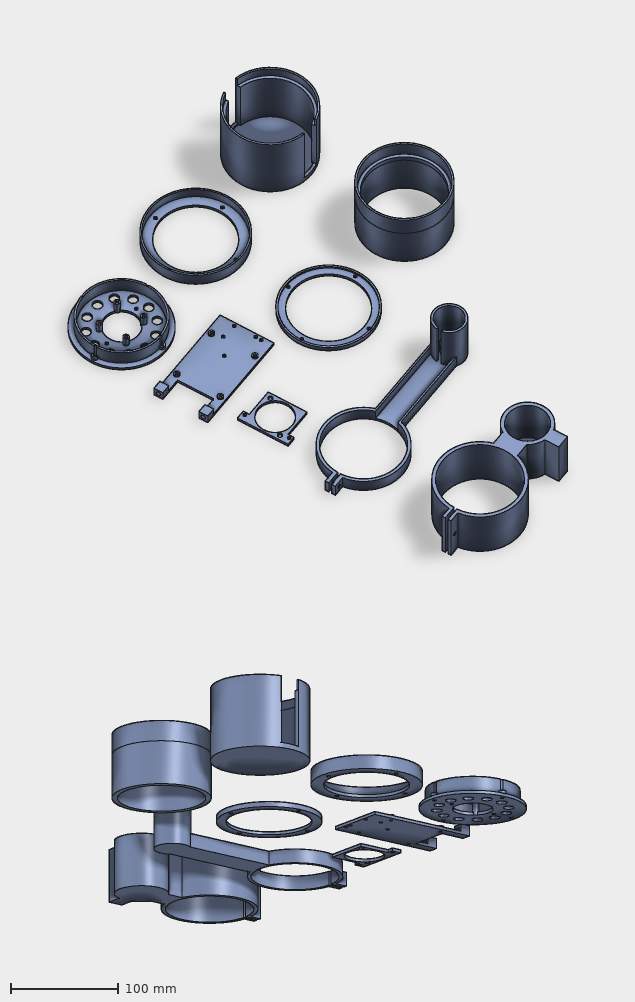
import cadquery as cq
import math

floor = 3.0
low_height = 13.5
tall_height = 51.0
tube_diameter = 92.5
bore_diameter = 82.0
rebate_diameter = 88.5
ring_bore = 80.0
flange_ring_outer, flange_ring_inner = 104.0, 100.5
cover_ring_outer, cover_ring_inner = 98.5, 94.5
cover_ring_height = 5.0
screw_circle = 90.0
screw_hole = 3.5

left_x = flange_ring_outer / 2
back_y = 306.5
middle_y = 181.0
front_y = 56.0
sleeve_x = 202.0
cover_x = 200.5
plate_x, plate_y = 151.0, 6.5
fan_x, fan_y = 231.0, 45.5
arm_x = 322.5
twin_outer = 90.0
total_length = 497.5
twin_x = total_length - twin_outer / 2


def disc(diameter, bottom, top, x=0.0, y=0.0):
    """Upright cylinder between two heights."""
    return cq.Workplane("XY", origin=(x, y, bottom)).circle(diameter / 2).extrude(top - bottom)


def block(x_min, x_max, y_min, y_max, z_min, z_max):
    """Rectangular block between two corners."""
    size = (x_max - x_min, y_max - y_min, z_max - z_min)
    return cq.Workplane("XY").box(*size, centered=False).translate((x_min, y_min, z_min))


def polar(radius, count, first_angle=0.0):
    """Points spread evenly on a circle about the origin."""
    angles = [math.radians(first_angle + 360 * i / count) for i in range(count)]
    return [(radius * math.cos(a), radius * math.sin(a)) for a in angles]


def pins(points, diameter, bottom, top):
    """Equal upright cylinders at several points, for bosses or for drilling."""
    centres = cq.Workplane("XY", origin=(0, 0, bottom)).pushPoints(points)
    return centres.circle(diameter / 2).extrude(top - bottom)


def make_cup():
    height = 70.0
    rebate_depth = 10.0
    slot_width = 20.0
    sill = 5.0
    sill_inner = 86.0
    cup = disc(tube_diameter, 0, height)
    cup = cup.cut(disc(bore_diameter, floor, height))
    cup = cup.cut(disc(rebate_diameter, height - rebate_depth, height))
    reach = tube_diameter / 2
    slot = block(-reach, reach, -slot_width / 2, slot_width / 2, sill, height)
    recess = block(-reach, reach, -slot_width / 2, slot_width / 2, floor, sill)
    return cup.cut(slot).cut(recess.intersect(disc(sill_inner, floor, sill)))


sleeve_tube_height = 42.0
sleeve_height = 61.5


def make_sleeve_tube():
    return disc(tube_diameter, 0, sleeve_tube_height).cut(disc(bore_diameter, 0, sleeve_tube_height))


def make_sleeve_collar():
    rebate_depth = 15.0
    collar = disc(tube_diameter, sleeve_tube_height, sleeve_height)
    collar = collar.cut(disc(bore_diameter, sleeve_tube_height, sleeve_height))
    return collar.cut(disc(rebate_diameter, sleeve_height - rebate_depth, sleeve_height))


def make_flange_ring(outer, rim_inner, height):
    ring = disc(outer, 0, height)
    ring = ring.cut(disc(rim_inner, floor, height)).cut(disc(ring_bore, 0, floor))
    return ring.cut(pins(polar(screw_circle / 2, 4), screw_hole, 0, floor))


def make_motor_base():
    flange_diameter = 100.0
    wall_inner = 84.5
    wall_height = 18.5
    shaft_opening = 38.0
    boss_diameter, boss_top = 7.0, 6.5
    vent_diameter, vent_radius, vent_count = 10.0, 34.0, 12
    post_diameter, post_hole, post_top = 6.0, 2.8, 13.0
    post_offset = 15.0
    cable_hole_y = 25.0

    base = disc(flange_diameter, 0, floor)
    base = base.union(disc(rebate_diameter, 0, wall_height))
    base = base.union(pins(polar(screw_circle / 2, 4), boss_diameter, 0, boss_top))
    base = base.cut(disc(wall_inner, floor, wall_height))
    base = base.cut(pins(polar(screw_circle / 2, 4), screw_hole, 0, wall_height))
    vents = polar(vent_radius, vent_count, 180 / vent_count)
    base = base.cut(pins(vents, vent_diameter, 0, floor))
    base = base.cut(pins([(0, cable_hole_y), (0, -cable_hole_y)], screw_hole, 0, floor))
    base = base.cut(disc(shaft_opening, 0, floor))
    posts = polar(post_offset * math.sqrt(2), 4, 45)
    base = base.union(pins(posts, post_diameter, 0, post_top))
    return base.cut(pins(posts, post_hole, floor, post_top))


def make_plate():
    half_width = 60.0 / 2
    length = 111.5
    leg = 10.0
    notch_end = 25.0
    block_hole, block_hole_depth = 4.85, 12.0
    boss_x = 24.5
    boss_rows = (30.0, 88.0)
    boss_diameter, boss_hole, boss_top = 6.0, 2.8, 5.0
    small_hole = 3.4
    small_holes = [(-12.0, 108.0), (12.0, 108.0), (18.5, 108.0), (-13.5, 91.5), (0, 73.0)]

    plate = block(-half_width, half_width, 0, length, 0, floor)
    plate = plate.cut(block(-half_width + leg, half_width - leg, 0, notch_end, 0, floor))
    for side in (-1, 1):
        middle = side * (half_width - leg / 2)
        plate = plate.union(block(middle - leg / 2, middle + leg / 2, 0, leg, 0, leg))
        bore = cq.Workplane("XZ", origin=(middle, 0, leg / 2)).circle(block_hole / 2)
        plate = plate.cut(bore.extrude(-block_hole_depth))
    bosses = [(side * boss_x, y) for side in (-1, 1) for y in boss_rows]
    plate = plate.union(pins(bosses, boss_diameter, 0, boss_top))
    plate = plate.cut(pins(bosses, boss_hole, 0, boss_top))
    return plate.cut(pins(small_holes, small_hole, 0, floor))


def make_fan_bracket():
    half_width, half_depth = 43.5 / 2, 42.0 / 2
    opening = 38.0
    ear_reach, ear_depth = 28.5, 10.0
    frame_hole, frame_hole_offset = 4.85, 16.0
    ear_hole = 3.4
    ear_hole_x, ear_hole_y = 25.0, -14.0

    bracket = block(-half_width, half_width, -half_depth, half_depth, 0, floor)
    bracket = bracket.union(block(-ear_reach, ear_reach, -half_depth, -half_depth + ear_depth, 0, floor))
    bracket = bracket.cut(disc(opening, 0, floor))
    corners = [(-frame_hole_offset, frame_hole_offset), (frame_hole_offset, -frame_hole_offset)]
    bracket = bracket.cut(pins(corners, frame_hole, 0, floor))
    ears = [(-ear_hole_x, ear_hole_y), (ear_hole_x, ear_hole_y)]
    return bracket.cut(pins(ears, ear_hole, 0, floor))


tab_gap = 3.0
tab_hole = 4.1
tab_hole_y = 6.5 - front_y


def add_tabs(clamp, inner, outer, span, height):
    """Add two tabs on the -Y side, split them and drill the pinch screw hole."""
    clamp = clamp.union(block(-span / 2, span / 2, -front_y, 0, 0, height))
    clamp = clamp.cut(disc(inner, 0, height))
    clamp = clamp.cut(block(-tab_gap / 2, tab_gap / 2, -front_y, 0, 0, height))
    drill = cq.Workplane("YZ", origin=(-outer / 2, tab_hole_y, height / 2)).circle(tab_hole / 2)
    return clamp.cut(drill.extrude(outer))


def make_arm_clamp():
    outer, inner = 88.5, 82.0
    tab_span = 11.5
    arm_half_width, arm_wall = 14.5, 2.0
    socket_y = 144.5
    socket_outer, socket_inner = 35.0, 30.0
    core_outer, core_inner = 18.0, 14.0
    socket_slot = 5.0

    clamp = disc(outer, 0, low_height)
    clamp = clamp.union(block(-arm_half_width, arm_half_width, 0, socket_y, 0, low_height))
    channel = arm_half_width - arm_wall
    clamp = clamp.cut(block(-channel, channel, 0, socket_y, floor, low_height))
    clamp = add_tabs(clamp, inner, outer, tab_span, low_height)

    socket = disc(socket_outer, 0, tall_height, 0, socket_y)
    clamp = clamp.union(socket).cut(disc(socket_inner, floor, tall_height, 0, socket_y))
    core = disc(core_outer, 0, low_height, 0, socket_y)
    core = core.cut(disc(core_inner, floor, low_height, 0, socket_y))
    slot = block(-socket_slot / 2, socket_slot / 2, socket_y - socket_outer, socket_y, floor, tall_height)
    return clamp.union(core).cut(slot)


def make_twin_clamp():
    inner = 82.5
    tab_span = 10.0
    cup_y = 80.0
    cup_outer, cup_inner = 50.5, 43.0
    neck_half_width = 13.5
    side_reach, side_half_width = 40.0, 7.5

    clamp = disc(twin_outer, 0, tall_height)
    clamp = clamp.union(block(-neck_half_width, neck_half_width, 0, cup_y, 0, tall_height))
    clamp = add_tabs(clamp, inner, twin_outer, tab_span, tall_height)
    clamp = clamp.union(disc(cup_outer, 0, tall_height, 0, cup_y))
    side = block(0, side_reach, cup_y - side_half_width, cup_y + side_half_width, 0, tall_height)
    return clamp.union(side).cut(disc(cup_inner, floor, tall_height, 0, cup_y))


cup = make_cup().translate((left_x, back_y, 0))
sleeve_tube = make_sleeve_tube().translate((sleeve_x, back_y, 0))
sleeve_collar = make_sleeve_collar().translate((sleeve_x, back_y, 0))
flange_ring = make_flange_ring(flange_ring_outer, flange_ring_inner, low_height)
flange_ring = flange_ring.translate((left_x, middle_y, 0))
cover_ring = make_flange_ring(cover_ring_outer, cover_ring_inner, cover_ring_height)
cover_ring = cover_ring.translate((cover_x, middle_y, 0))
motor_base = make_motor_base().translate((left_x, front_y, 0))
plate = make_plate().translate((plate_x, plate_y, 0))
fan_bracket = make_fan_bracket().translate((fan_x, fan_y, 0))
arm_clamp = make_arm_clamp().translate((arm_x, front_y, 0))
twin_clamp = make_twin_clamp().translate((twin_x, front_y, 0))

result = cq.Compound.makeCompound([
    cup.val(),
    sleeve_tube.val(),
    sleeve_collar.val(),
    flange_ring.val(),
    cover_ring.val(),
    motor_base.val(),
    plate.val(),
    fan_bracket.val(),
    arm_clamp.val(),
    twin_clamp.val(),
])